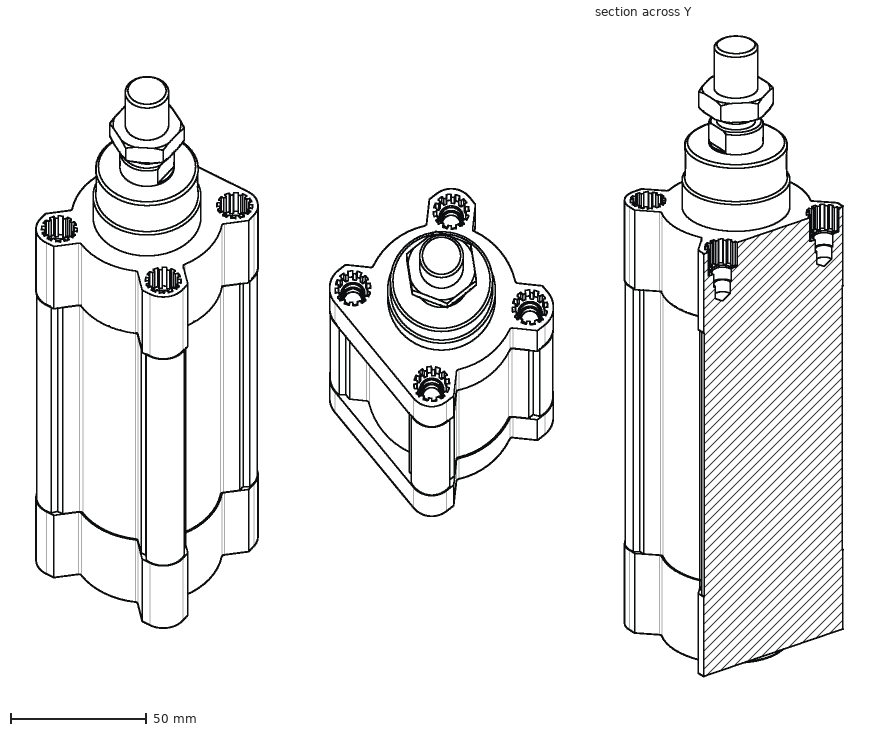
import cadquery as cq
import math

total_height = 247.8
bottom_collar_height = 4.0
body_top = 180.5
cap_height = 33.2
collar_top = 191.5
guide_base = 192.3
guide_top = 207.2
flats_bottom = 208.0
spindle_top = 216.0
nut_bottom = 221.8
nut_height = 8.0
barrel_bottom = bottom_collar_height + cap_height
barrel_top = body_top - cap_height

cap_half_width = 32.0
screw_offset = 23.3
lobe_radius = cap_half_width - screw_offset
cap_core_radius = 28.0
cap_lobe_offset = 12.1
cap_root_fillet = 1.0

barrel_inset = 0.2
barrel_lobe_radius = lobe_radius - barrel_inset
barrel_core_radius = 27.5
barrel_lobe_offset = 12.0
shoulder_outer = 21.3
shoulder_inner = 19.8
flank_half_width = 29.5
barrel_root_fillet = 1.2

collar_diameter = 40.0
collar_chamfer = 0.7
guide_diameter = 38.0
guide_waist_diameter = 37.5
guide_edge_chamfer = 1.0

socket_diameter = 13.1
socket_inner_diameter = 11.0
socket_depth = 10.0
groove_count = 12
groove_width = 1.7
screw_mouth_diameter = 9.0
screw_thread_diameter = 8.0
screw_bore_diameter = 6.7
screw_thread_depth = 5.0
screw_bore_depth = 5.0
drill_tip_angle = 118.0

spindle_diameter = 20.0
spindle_chamfer = 0.7
across_flats = 17.0
thread_diameter = 16.0
thread_chamfer = 1.0
thread_end = 221.5
neck_top = 218.3
neck_diameter = 14.0
neck_base_diameter = 14.4
nut_across_flats = 24.0
nut_face_diameter = 25.0
nut_chamfer_angle = 30.0


def disc(diameter, bottom, top):
    """Upright cylinder about the Z axis."""
    return cq.Workplane("XY").workplane(offset=bottom).circle(diameter / 2).extrude(top - bottom)


def for_each_corner(shape):
    """Four copies of a shape, turned about Z in quarter turns."""
    return [shape.rotate((0, 0, 0), (0, 0, 1), 90 * turn) for turn in range(4)]


def lobe_outline(flank_points, corner_radius, bottom):
    """Lobe outline at the +X +Y corner, mirrored about the corner diagonal.

    The flank points run from the inner end of the +X flank out to the corner arc.
    """
    diagonal_reach = screw_offset + corner_radius * math.sqrt(0.5)
    mirrored = [(y, x) for x, y in reversed(flank_points)]
    outline = cq.Workplane("XY").workplane(offset=bottom).moveTo(0, 0)
    for point in flank_points:
        outline = outline.lineTo(*point)
    outline = outline.threePointArc((diagonal_reach, diagonal_reach), mirrored[0])
    for point in mirrored[1:]:
        outline = outline.lineTo(*point)
    return outline.close()


def round_lobe_roots(body, core_radius, lobe_offset, fillet_radius, height):
    """Fillet the eight upright edges where lobe flanks meet the core, found at the given height.

    A flank x = y + offset meets the core circle where (y + offset)^2 + y^2 = radius^2.
    """
    half_offset = lobe_offset / 2
    root_y = math.sqrt(core_radius**2 / 2 - half_offset**2) - half_offset
    root_angle = math.asin(root_y / core_radius)
    for turn in range(4):
        for side in (-1, 1):
            angle = turn * math.pi / 2 + side * root_angle
            root = (core_radius * math.cos(angle), core_radius * math.sin(angle), height)
            body = body.edges("|Z").edges(cq.NearestToPointSelector(root)).fillet(fillet_radius)
    return body


def build_cap(bottom):
    """End cap with three notched sides and a plain +Y side."""
    flank = [
        (cap_lobe_offset, 0),
        (cap_half_width, cap_half_width - cap_lobe_offset),
        (cap_half_width, screw_offset),
    ]
    cap = disc(2 * cap_core_radius, bottom, bottom + cap_height)
    for lobe in for_each_corner(lobe_outline(flank, lobe_radius, bottom).extrude(cap_height)):
        cap = cap.union(lobe)
    cap = round_lobe_roots(cap, cap_core_radius, cap_lobe_offset, cap_root_fillet, bottom + cap_height / 2)
    plain_side = (
        cq.Workplane("XY")
        .workplane(offset=bottom)
        .center(0, cap_half_width / 2)
        .rect(2 * screw_offset, cap_half_width)
        .extrude(cap_height)
    )
    return cap.union(plain_side)


def build_barrel():
    """Barrel with a stepped lobe at each corner and rounded lobe roots."""
    length = barrel_top - barrel_bottom
    arc_end = screw_offset + math.sqrt(barrel_lobe_radius**2 - (shoulder_outer - screw_offset) ** 2)
    flank = [
        (barrel_lobe_offset, 0),
        (flank_half_width, flank_half_width - barrel_lobe_offset),
        (flank_half_width, shoulder_inner),
        (arc_end, shoulder_outer),
    ]
    barrel = disc(2 * barrel_core_radius, barrel_bottom, barrel_top)
    for lobe in for_each_corner(lobe_outline(flank, barrel_lobe_radius, barrel_bottom).extrude(length)):
        barrel = barrel.union(lobe)
    middle = (barrel_bottom + barrel_top) / 2
    return round_lobe_roots(barrel, barrel_core_radius, barrel_lobe_offset, barrel_root_fillet, middle)


def build_guide():
    """Collar and slightly waisted guide through which the rod leaves the front cap."""
    rim_height = guide_top - guide_edge_chamfer
    waist_height = (guide_base + rim_height) / 2
    return (
        cq.Workplane("XZ")
        .moveTo(0, body_top)
        .lineTo(collar_diameter / 2, body_top)
        .lineTo(collar_diameter / 2, collar_top)
        .lineTo(guide_diameter / 2, guide_base)
        .threePointArc((guide_waist_diameter / 2, waist_height), (guide_diameter / 2, rim_height))
        .lineTo(guide_diameter / 2 - guide_edge_chamfer, guide_top)
        .lineTo(0, guide_top)
        .close()
        .revolve(360, (0, 0, 0), (0, 1, 0))
    )


def build_screw_socket():
    """Cutter for one grooved screw socket with a stepped bore, at the +X +Y corner."""
    tip_height = screw_bore_diameter / 2 / math.tan(math.radians(drill_tip_angle / 2))
    floor = body_top - socket_depth
    thread_start = floor - (screw_mouth_diameter - screw_thread_diameter) / 2
    thread_bottom = thread_start - screw_thread_depth
    bore_end = thread_bottom - screw_bore_depth
    socket = (
        cq.Workplane("XZ")
        .moveTo(0, body_top)
        .lineTo(socket_inner_diameter / 2, body_top)
        .lineTo(socket_inner_diameter / 2, floor)
        .lineTo(screw_mouth_diameter / 2, floor)
        .lineTo(screw_thread_diameter / 2, thread_start)
        .lineTo(screw_thread_diameter / 2, thread_bottom)
        .lineTo(screw_bore_diameter / 2, thread_bottom)
        .lineTo(screw_bore_diameter / 2, bore_end)
        .lineTo(0, bore_end - tip_height)
        .close()
        .revolve(360, (0, 0, 0), (0, 1, 0))
    )
    for bar in range(groove_count // 2):
        groove_pair = (
            cq.Workplane("XY")
            .box(socket_diameter, groove_width, socket_depth, centered=(True, True, False))
            .rotate((0, 0, 0), (0, 0, 1), bar * 360 / groove_count)
            .translate((0, 0, floor))
        )
        socket = socket.union(groove_pair)
    return socket.translate((screw_offset, screw_offset, 0))


def build_housing():
    """Barrel, both caps, rod guide and bottom collar as one solid."""
    bottom_collar = disc(collar_diameter, 0, bottom_collar_height).faces("<Z").chamfer(collar_chamfer)
    housing = build_barrel()
    rear_cap = build_cap(bottom_collar_height)
    front_cap = build_cap(barrel_top)
    for piece in (rear_cap, front_cap, build_guide(), bottom_collar):
        housing = housing.union(piece)
    for socket in for_each_corner(build_screw_socket()):
        housing = housing.cut(socket)
    return housing.cut(disc(spindle_diameter, barrel_top, guide_top))


def build_rod():
    """Piston rod with wrench flats, a necked shoulder and a threaded end."""
    rod = (
        cq.Workplane("XZ")
        .moveTo(0, barrel_top)
        .lineTo(spindle_diameter / 2, barrel_top)
        .lineTo(spindle_diameter / 2, spindle_top - spindle_chamfer)
        .lineTo(spindle_diameter / 2 - spindle_chamfer, spindle_top)
        .lineTo(neck_base_diameter / 2, spindle_top)
        .lineTo(neck_diameter / 2, neck_top)
        .lineTo(thread_diameter / 2, thread_end)
        .lineTo(thread_diameter / 2, total_height - thread_chamfer)
        .lineTo(thread_diameter / 2 - thread_chamfer, total_height)
        .lineTo(0, total_height)
        .close()
        .revolve(360, (0, 0, 0), (0, 1, 0))
    )
    flats_height = spindle_top - flats_bottom
    for side in (-1, 1):
        flat = (
            cq.Workplane("XY")
            .box(spindle_diameter, spindle_diameter, flats_height, centered=(True, True, False))
            .translate((side * (across_flats + spindle_diameter) / 2, 0, flats_bottom))
        )
        rod = rod.cut(flat)
    return rod


def build_nut():
    """Hexagon nut with two flats facing along X and its corners chamfered at both ends."""
    nut_top = nut_bottom + nut_height
    corner_radius = nut_across_flats / 2 / math.cos(math.pi / 6)
    chamfer_height = (corner_radius - nut_face_diameter / 2) * math.tan(math.radians(nut_chamfer_angle))
    hexagon = (
        cq.Workplane("XY")
        .workplane(offset=nut_bottom)
        .polygon(6, nut_across_flats, circumscribed=True)
        .circle(thread_diameter / 2)
        .extrude(nut_height)
    )
    turned_blank = (
        cq.Workplane("XZ")
        .moveTo(0, nut_bottom)
        .lineTo(nut_face_diameter / 2, nut_bottom)
        .lineTo(corner_radius, nut_bottom + chamfer_height)
        .lineTo(corner_radius, nut_top - chamfer_height)
        .lineTo(nut_face_diameter / 2, nut_top)
        .lineTo(0, nut_top)
        .close()
        .revolve(360, (0, 0, 0), (0, 1, 0))
    )
    return hexagon.intersect(turned_blank)


housing = build_housing()
rod = build_rod()
nut = build_nut()

result = cq.Compound.makeCompound([housing.val(), rod.val(), nut.val()])